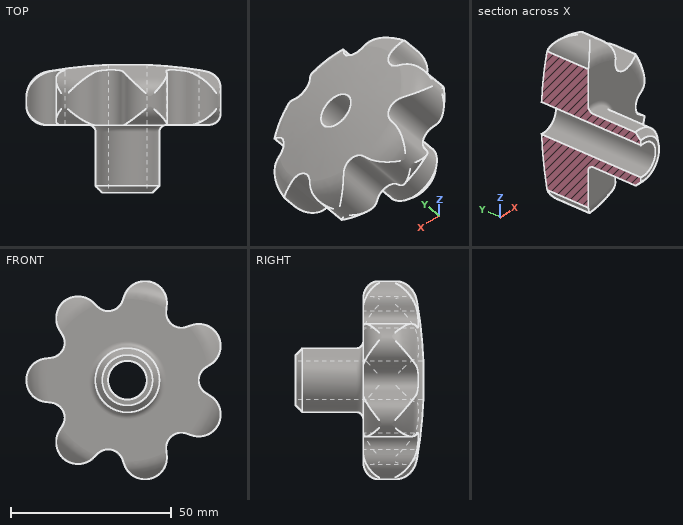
import cadquery as cq
import math

knob_length = 39.9
head_thickness = 18.8
tip_radius = 31.5
rim_clearance = 0.01
rim_radius = tip_radius + rim_clearance
dome_radius = 142.0
dome_side_rounding = 8.4
stem_side_rounding = 6.2

lobe_count = 7
lobe_radius = 6.85
lobe_centre = tip_radius - lobe_radius
notch_radius = 4.7
notch_centre = 26.9

stem_radius = 10.0
stem_chamfer = 2.15
stem_fillet = 2.05
bore_radius = 6.0

head_back = knob_length - head_thickness
dome_centre = knob_length - math.sqrt(dome_radius**2 - bore_radius**2)
dome_apex = dome_centre + dome_radius
prism_margin = 0.6
prism_start = head_back - prism_margin
prism_end = dome_apex + prism_margin
half_pitch = math.pi / lobe_count


def polar(radius, angle):
    return (radius * math.cos(angle), radius * math.sin(angle))


def round_head():
    """Solid of revolution: flat face, rounded rim and shallow dome."""
    rounding_centre_r = rim_radius - dome_side_rounding
    centre_distance = dome_radius - dome_side_rounding
    rounding_angle = math.asin(rounding_centre_r / centre_distance)
    rounding_centre_y = dome_centre + centre_distance * math.cos(rounding_angle)

    def on_dome(angle):
        return (dome_radius * math.sin(angle), dome_centre + dome_radius * math.cos(angle))

    middle_angle = (rounding_angle + math.pi / 2) / 2
    rounding_middle = (
        rounding_centre_r + dome_side_rounding * math.sin(middle_angle),
        rounding_centre_y + dome_side_rounding * math.cos(middle_angle),
    )
    inset = stem_side_rounding * (1 - math.sqrt(0.5))
    profile = (
        cq.Workplane("XY")
        .moveTo(0, head_back)
        .lineTo(rim_radius - stem_side_rounding, head_back)
        .threePointArc(
            (rim_radius - inset, head_back + inset),
            (rim_radius, head_back + stem_side_rounding),
        )
        .lineTo(rim_radius, rounding_centre_y)
        .threePointArc(rounding_middle, on_dome(rounding_angle))
        .threePointArc(on_dome(rounding_angle / 2), (0, dome_apex))
        .close()
    )
    return profile.revolve(360, (0, 0, 0), (0, 1, 0))


def lobed_prism():
    """Prism of seven lobes and notches joined by straight common tangents."""
    notch_x, notch_y = polar(notch_centre, half_pitch)
    gap_x = notch_x - lobe_centre
    distance = math.hypot(gap_x, notch_y)
    tangent_angle = math.atan2(notch_y, gap_x) - math.acos((lobe_radius + notch_radius) / distance)
    normal_x, normal_y = polar(1, tangent_angle)
    lobe_end = (lobe_centre + lobe_radius * normal_x, lobe_radius * normal_y)
    notch_start = (notch_x - notch_radius * normal_x, notch_y - notch_radius * normal_y)

    def turned(point, angle):
        return polar(math.hypot(*point), math.atan2(point[1], point[0]) + angle)

    def mirrored(point):
        return (point[0], -point[1])

    first_angle = math.pi
    outline = cq.Workplane("XZ", origin=(0, prism_end, 0))
    outline = outline.moveTo(*turned(mirrored(lobe_end), first_angle))
    for index in range(lobe_count):
        angle = first_angle + 2 * half_pitch * index
        next_angle = angle + 2 * half_pitch
        outline = (
            outline
            .threePointArc(polar(tip_radius, angle), turned(lobe_end, angle))
            .lineTo(*turned(notch_start, angle))
            .threePointArc(
                polar(notch_centre - notch_radius, angle + half_pitch),
                turned(mirrored(notch_start), next_angle),
            )
            .lineTo(*turned(mirrored(lobe_end), next_angle))
        )
    return outline.close().extrude(prism_end - prism_start)


def stem():
    """Stem with a chamfered end and a concave fillet where it meets the head."""
    inset = stem_fillet * (1 - math.sqrt(0.5))
    overlap = stem_fillet
    profile = (
        cq.Workplane("XY")
        .lineTo(stem_radius - stem_chamfer, 0)
        .lineTo(stem_radius, stem_chamfer)
        .lineTo(stem_radius, head_back - stem_fillet)
        .threePointArc(
            (stem_radius + inset, head_back - inset),
            (stem_radius + stem_fillet, head_back),
        )
        .lineTo(stem_radius + stem_fillet, head_back + overlap)
        .lineTo(0, head_back + overlap)
        .close()
    )
    return profile.revolve(360, (0, 0, 0), (0, 1, 0))


def bore():
    """Cylinder for the hole through the whole knob."""
    return cq.Workplane("XZ").circle(bore_radius).extrude(-prism_end)


head = round_head().intersect(lobed_prism())
result = head.union(stem()).cut(bore())